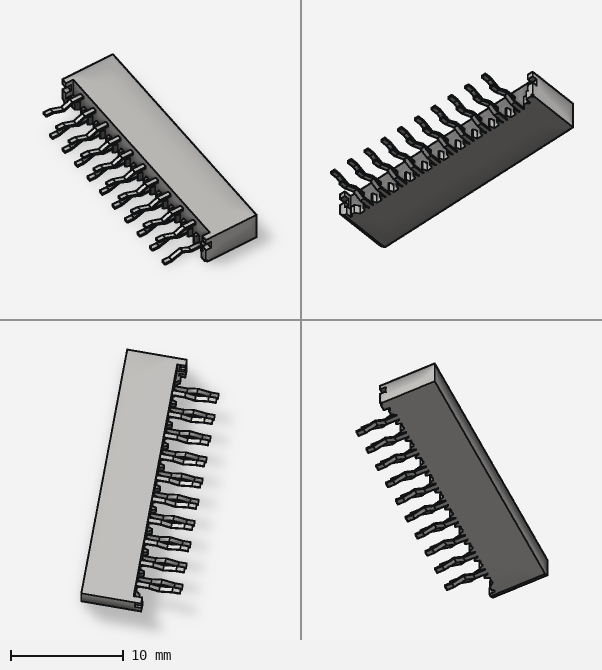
import cadquery as cq

LENGTH = 23.0
HEIGHT = 3.0
EAR_DEPTH = 5.4
WALL_DEPTH = 4.62
EAR_WIDTH = 0.58
KEY_CHAMFER = 0.5

NOTCH_FLOOR = 4.85
NOTCH_BOTTOM = 1.63
NOTCH_HEIGHT = 0.75

STEP_SIZE = 0.15
STEP_DEPTH = STEP_SIZE

CONTACT_COUNT = 20
PITCH = LENGTH / 23
CONTACT_GAP = 0.55
CONTACT_WIDTH = PITCH - CONTACT_GAP
CONTACT_THICKNESS = 0.2
UPPER_ROW_TOP = HEIGHT - 0.75
BEND_START = 5.8
BEND_PEAK = 6.72
BEND_END = 7.9
CONTACT_TIP = 8.6
BEND_RISE = 0.45

TOOTH_HEIGHT = 1.0
TOOTH_FRONT = 5.04
TOOTH_ROOT_WIDTH = 0.44
TOOTH_TIP_WIDTH = 0.15
LIP_EDGE = 0.78
END_TOOTH_START = 1.0
END_TOOTH_TIP_END = 1.4
END_TOOTH_ROOT_END = 1.7

FIRST_CONTACT_X = -PITCH * (CONTACT_COUNT - 1) / 2


def box(x_min, x_max, depth_min, depth_max, z_min, z_max):
    """Block between two X values, two depths behind the back face and two heights."""
    return (
        cq.Workplane("XY")
        .box(x_max - x_min, depth_max - depth_min, z_max - z_min, centered=False)
        .translate((x_min, -depth_max, z_min))
    )


def plan_prism(points, height):
    """Upright prism standing on Z = 0 with its outline given as (x, y) points."""
    return cq.Workplane("XY").polyline(points).close().extrude(height)


def make_housing():
    half = LENGTH / 2
    inner = half - EAR_WIDTH
    housing = box(-half, half, 0, EAR_DEPTH, 0, HEIGHT)
    housing = housing.cut(box(-inner, inner, WALL_DEPTH, EAR_DEPTH, 0, HEIGHT))
    housing = housing.cut(
        box(-half, half, NOTCH_FLOOR, EAR_DEPTH, NOTCH_BOTTOM, NOTCH_BOTTOM + NOTCH_HEIGHT)
    )
    housing = housing.edges("|Y and <X and <Z").chamfer(KEY_CHAMFER)
    return housing.cut(
        box(half - STEP_SIZE, half, EAR_DEPTH - STEP_DEPTH, EAR_DEPTH, 0, STEP_SIZE)
    )


def make_tooth(x):
    half_root = TOOTH_ROOT_WIDTH / 2
    half_tip = TOOTH_TIP_WIDTH / 2
    outline = [
        (x - half_root, -WALL_DEPTH),
        (x - half_tip, -TOOTH_FRONT),
        (x + half_tip, -TOOTH_FRONT),
        (x + half_root, -WALL_DEPTH),
    ]
    return plan_prism(outline, TOOTH_HEIGHT)


def make_left_end_tooth():
    """Lip against the ear, shallow web beside it, then a tooth sloping down to the first contact."""
    left = -LENGTH / 2
    outline = [
        (left + EAR_WIDTH, -WALL_DEPTH),
        (left + EAR_WIDTH, -EAR_DEPTH),
        (left + LIP_EDGE, -EAR_DEPTH),
        (left + LIP_EDGE, -NOTCH_FLOOR),
        (left + END_TOOTH_START, -NOTCH_FLOOR),
        (left + END_TOOTH_START, -TOOTH_FRONT),
        (left + END_TOOTH_TIP_END, -TOOTH_FRONT),
        (left + END_TOOTH_ROOT_END, -WALL_DEPTH),
    ]
    return plan_prism(outline, TOOTH_HEIGHT)


def make_contact(x, outer_z, inward):
    """Bent strip; outer_z is its outer face and inward (+1 or -1) the Z direction of the bend."""
    path = [
        (-WALL_DEPTH, outer_z),
        (-BEND_START, outer_z),
        (-BEND_PEAK, outer_z + inward * BEND_RISE),
        (-BEND_END, outer_z),
        (-CONTACT_TIP, outer_z),
    ]
    inner_face = [(y, z + inward * CONTACT_THICKNESS) for y, z in reversed(path)]
    return (
        cq.Workplane("YZ", origin=(x, 0, 0))
        .polyline(path + inner_face)
        .close()
        .extrude(CONTACT_WIDTH / 2, both=True)
    )


result = make_housing()

left_end_tooth = make_left_end_tooth()
result = result.union(left_end_tooth).union(left_end_tooth.mirror("YZ"))

for index in range(CONTACT_COUNT - 1):
    result = result.union(make_tooth(FIRST_CONTACT_X + (index + 0.5) * PITCH))

for index in range(CONTACT_COUNT):
    contact_x = FIRST_CONTACT_X + index * PITCH
    if index % 2 == 0:
        contact = make_contact(contact_x, UPPER_ROW_TOP, -1)
    else:
        contact = make_contact(contact_x, 0, 1)
    result = result.union(contact)